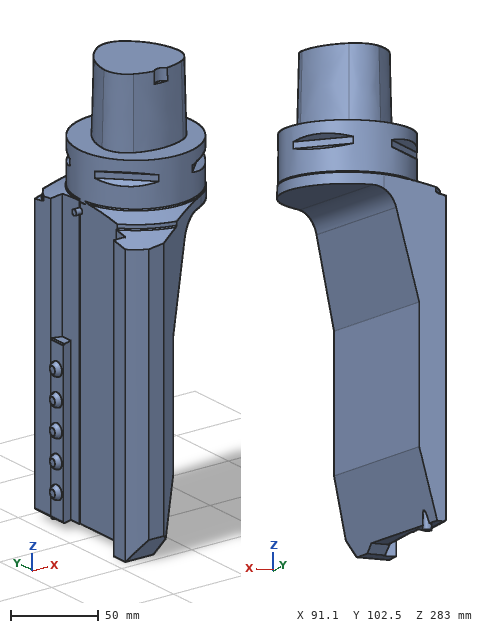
import cadquery as cq
import math


SHANK_LENGTH = 48.0
LOBE_PITCH = 120.0
SHANK_LOBE_REACH = 29.2
SHANK_SIDE_REACH = 25.5
SHANK_LOBE_RADIUS = 17.2
SHANK_TAPER = math.degrees(math.atan(1 / 40))
KEYWAY_RADIUS = 6.0
KEYWAY_CENTRE_Y = -27.8
KEYWAY_DEPTH = 8.0

FLANGE_RADIUS = 40.0
FLANGE_BOTTOM = -30.0
PLATE_RADIUS = 40.5
GROOVE_Z = -11.8
GROOVE_FLOOR_REACH = 35.4
GROOVE_FLOOR_HEIGHT = 4.0
GROOVE_MOUTH_HEIGHT = 8.8
GROOVE_ANGLES = (45, 135, 225, 315)

BODY_BOTTOM = -235.0
FRONT_X = -47.5
SEAT_X = -40.5
RELIEF_X = -39.7
RAIL_OUTER_Y = 33.4
RAIL_INNER_Y = 18.0
HOOK_INNER_Y = -42.8
HOOK_OUTER_Y = -62.0
HOOK_CORNER_X = -25.9
HOOK_RADIUS = 72.0
RELIEF_Y = (-36.0, 0.0)
DOVETAIL_ANGLE = 16.0

SHOULDER_ANGLE = 15.0
STEP_RADIUS = 53.4
STEP_HEIGHT = 2.5
STEP_COVE = 0.8
SHOULDER_TOP = -30.9

BACK_TURN = 10.0
BACK_REACH = -23.0
BACK_SLOPE = 16.0
PLATE_BOTTOM = -37.6
UPPER_SLOPE_END = -103.0
LOWER_SLOPE_START = -188.0
BACK_FILLET = 16.0

SEAT_BOTTOM = -230.2
HOOK_CHAMFER_WIDTH = 7.8
HOOK_CHAMFER_ANGLE = 60.0
RAIL_END_CHAMFER = 1.0

STRIP_WIDTH = 12.2
STRIP_TOP = -119.7
STRIP_CHAMFER = 0.8
STRIP_SETBACK = 0.1
SCREW_COUNT = 5
SCREW_PITCH = 19.0
SCREW_TOP_Z = -136.8
SCREW_Y = 12.0
SCREW_HEAD_DIAMETER = 9.5
SCREW_TIP_DIAMETER = 5.0
SCREW_HEAD_HEIGHT = 3.13
SCREW_DOME_RADIUS = 3.8
SCREW_DOME_HEIGHT = 2.2
PIN_DIAMETER = 4.0
PIN_LENGTH = 3.5
PIN_Z = -37.5
PEG_DIAMETER = 5.0
PEG_CENTRE = (-40.0, 23.3)
PEG_TOP = -222.0
PEG_BOTTOM = -233.8

CLEARANCE = 100.0
EMBED = 1.0


def polar(radius, degrees):
    angle = math.radians(degrees)
    return (radius * math.cos(angle), radius * math.sin(angle))


def tan_deg(degrees):
    return math.tan(math.radians(degrees))


def make_shank():
    lobe_offset = SHANK_LOBE_REACH - SHANK_LOBE_RADIUS
    gap = SHANK_SIDE_REACH - SHANK_LOBE_RADIUS
    side_offset = (lobe_offset**2 - gap**2) / (2 * gap - lobe_offset)
    side_x, side_y = polar(side_offset, LOBE_PITCH / 2 + 180)
    joint_angle = math.degrees(math.atan2(-side_y, lobe_offset - side_x))
    joint_x, joint_y = polar(SHANK_LOBE_RADIUS, joint_angle)
    joint_x += lobe_offset
    joint_reach = math.hypot(joint_x, joint_y)
    joint_turn = math.degrees(math.atan2(joint_y, joint_x))

    outline = cq.Workplane("XY").moveTo(*polar(joint_reach, 90 - joint_turn))
    for lobe in (90, 90 + LOBE_PITCH, 90 + 2 * LOBE_PITCH):
        outline = outline.threePointArc(
            polar(SHANK_LOBE_REACH, lobe),
            polar(joint_reach, lobe + joint_turn),
        )
        outline = outline.threePointArc(
            polar(SHANK_SIDE_REACH, lobe + LOBE_PITCH / 2),
            polar(joint_reach, lobe + LOBE_PITCH - joint_turn),
        )
    shank = outline.close().extrude(SHANK_LENGTH, taper=SHANK_TAPER)
    keyway = (
        cq.Workplane("XY", origin=(0, KEYWAY_CENTRE_Y, SHANK_LENGTH - KEYWAY_DEPTH))
        .circle(KEYWAY_RADIUS)
        .extrude(KEYWAY_DEPTH)
    )
    return shank.cut(keyway)


def make_flange():
    flange = cq.Workplane("XY").circle(FLANGE_RADIUS).extrude(SHOULDER_TOP - EMBED)
    half_floor = GROOVE_FLOOR_HEIGHT / 2
    half_mouth = GROOVE_MOUTH_HEIGHT / 2
    groove = (
        cq.Workplane("XZ", origin=(0, FLANGE_RADIUS, GROOVE_Z))
        .polyline([
            (GROOVE_FLOOR_REACH, -half_floor),
            (FLANGE_RADIUS, -half_mouth),
            (FLANGE_RADIUS, half_mouth),
            (GROOVE_FLOOR_REACH, half_floor),
        ])
        .close()
        .extrude(2 * FLANGE_RADIUS)
    )
    for angle in GROOVE_ANGLES:
        flange = flange.cut(groove.rotate((0, 0, 0), (0, 0, 1), angle))
    return flange


def plate_tangent_angle(x, y, side):
    """Angle of the point where a line from (x, y) touches the plate circle."""
    half_span = math.degrees(math.acos(PLATE_RADIUS / math.hypot(x, y)))
    return math.degrees(math.atan2(y, x)) + side * half_span


def make_prism():
    undercut = (SEAT_X - FRONT_X) * tan_deg(DOVETAIL_ANGLE)
    rail_tangent = polar(PLATE_RADIUS, plate_tangent_angle(FRONT_X, RAIL_OUTER_Y, -1))
    hook_tangent = polar(PLATE_RADIUS, plate_tangent_angle(HOOK_CORNER_X, HOOK_OUTER_Y, 1))
    hook_arc_start = (-math.sqrt(HOOK_RADIUS**2 - HOOK_OUTER_Y**2), HOOK_OUTER_Y)
    hook_arc_end = (FRONT_X, -math.sqrt(HOOK_RADIUS**2 - FRONT_X**2))
    mid_x = hook_arc_start[0] + hook_arc_end[0]
    mid_y = hook_arc_start[1] + hook_arc_end[1]
    hook_arc_mid = polar(HOOK_RADIUS, math.degrees(math.atan2(mid_y, mid_x)))
    relief_low, relief_high = RELIEF_Y
    return (
        cq.Workplane("XY", origin=(0, 0, BODY_BOTTOM))
        .moveTo(FRONT_X, RAIL_OUTER_Y)
        .lineTo(*rail_tangent)
        .threePointArc((PLATE_RADIUS, 0), hook_tangent)
        .lineTo(HOOK_CORNER_X, HOOK_OUTER_Y)
        .lineTo(*hook_arc_start)
        .threePointArc(hook_arc_mid, hook_arc_end)
        .lineTo(FRONT_X, HOOK_INNER_Y)
        .lineTo(SEAT_X, HOOK_INNER_Y - undercut)
        .lineTo(SEAT_X, relief_low)
        .lineTo(RELIEF_X, relief_low)
        .lineTo(RELIEF_X, relief_high)
        .lineTo(SEAT_X, relief_high)
        .lineTo(SEAT_X, RAIL_INNER_Y - undercut)
        .lineTo(FRONT_X, RAIL_INNER_Y)
        .close()
        .extrude(FLANGE_BOTTOM - BODY_BOTTOM)
    )


def make_shoulder_envelope():
    step_top = SHOULDER_TOP - (STEP_RADIUS - PLATE_RADIUS) * tan_deg(SHOULDER_ANGLE)
    step_bottom = step_top - STEP_HEIGHT
    cove_radius = STEP_RADIUS + STEP_COVE
    cove_z = step_bottom - STEP_COVE
    rim_z = cove_z - (CLEARANCE - cove_radius) * tan_deg(SHOULDER_ANGLE)
    return (
        cq.Workplane("XZ")
        .polyline([
            (0, FLANGE_BOTTOM),
            (FLANGE_RADIUS, FLANGE_BOTTOM),
            (PLATE_RADIUS, SHOULDER_TOP),
            (STEP_RADIUS, step_top),
            (STEP_RADIUS, step_bottom),
            (cove_radius, cove_z),
            (CLEARANCE, rim_z),
            (CLEARANCE, BODY_BOTTOM),
            (0, BODY_BOTTOM),
        ])
        .close()
        .revolve(360, (0, 0), (0, 1))
    )


def make_back_cut():
    slope = tan_deg(BACK_SLOPE)
    plate_reach = BACK_REACH + (PLATE_BOTTOM - UPPER_SLOPE_END) * slope
    foot_reach = BACK_REACH - (LOWER_SLOPE_START - BODY_BOTTOM) * slope
    return (
        cq.Workplane("XZ", origin=(0, CLEARANCE, 0))
        .polyline([
            (plate_reach, PLATE_BOTTOM),
            (BACK_REACH, UPPER_SLOPE_END),
            (BACK_REACH, LOWER_SLOPE_START),
            (foot_reach, BODY_BOTTOM),
            (CLEARANCE, BODY_BOTTOM),
            (CLEARANCE, PLATE_BOTTOM),
        ])
        .close()
        .extrude(2 * CLEARANCE)
        .edges(cq.selectors.NearestToPointSelector((plate_reach, 0, PLATE_BOTTOM)))
        .fillet(BACK_FILLET)
        .rotate((0, 0, 0), (0, 0, 1), BACK_TURN)
    )


def make_end_cut():
    """Everything below the seat end, the hook ramp and the hook chamfer."""
    chamfer_height = HOOK_CHAMFER_WIDTH * tan_deg(HOOK_CHAMFER_ANGLE)
    sides = cq.Workplane("YZ", origin=(-CLEARANCE, 0, 0))
    seat_end = sides.polyline([
        (CLEARANCE, SEAT_BOTTOM),
        (RELIEF_Y[0], SEAT_BOTTOM),
        (HOOK_INNER_Y, BODY_BOTTOM),
        (CLEARANCE, BODY_BOTTOM),
    ]).close().extrude(2 * CLEARANCE)
    hook_chamfer = sides.polyline([
        (HOOK_OUTER_Y, BODY_BOTTOM),
        (HOOK_OUTER_Y + HOOK_CHAMFER_WIDTH, BODY_BOTTOM),
        (HOOK_OUTER_Y, BODY_BOTTOM + chamfer_height),
    ]).close().extrude(2 * CLEARANCE)
    return seat_end.union(hook_chamfer)


def make_body():
    body = make_prism().intersect(make_shoulder_envelope())
    return body.cut(make_back_cut()).cut(make_end_cut())


def make_strip():
    undercut = (SEAT_X - FRONT_X) * tan_deg(DOVETAIL_ANGLE)
    free_y = RAIL_INNER_Y - STRIP_WIDTH
    face_x = FRONT_X + STRIP_SETBACK
    return (
        cq.Workplane("XY", origin=(0, 0, SEAT_BOTTOM))
        .polyline([
            (face_x, RAIL_INNER_Y),
            (face_x, free_y),
            (SEAT_X, free_y + undercut),
            (SEAT_X, RAIL_INNER_Y - undercut),
        ])
        .close()
        .extrude(STRIP_TOP - SEAT_BOTTOM)
        .faces("<X")
        .edges(">Z")
        .chamfer(STRIP_CHAMFER)
    )


def make_rail_end_chamfer():
    """Wedge along the lower front edge of the rail and the strip."""
    return (
        cq.Workplane("XZ", origin=(0, RAIL_OUTER_Y + EMBED, 0))
        .polyline([
            (FRONT_X, SEAT_BOTTOM),
            (FRONT_X + RAIL_END_CHAMFER, SEAT_BOTTOM),
            (FRONT_X, SEAT_BOTTOM + RAIL_END_CHAMFER),
        ])
        .close()
        .extrude(RAIL_OUTER_Y - RAIL_INNER_Y + STRIP_WIDTH + 2 * EMBED)
    )


def make_screw_head(z):
    """Domed button head standing on the strip, its axis along X."""
    base_radius = SCREW_HEAD_DIAMETER / 2
    tip_radius = SCREW_TIP_DIAMETER / 2
    tip_x = FRONT_X - SCREW_HEAD_HEIGHT
    dome_mid = (FRONT_X - SCREW_DOME_HEIGHT, SCREW_DOME_RADIUS)
    return (
        cq.Workplane("XY")
        .moveTo(FRONT_X + EMBED, 0)
        .lineTo(FRONT_X + EMBED, base_radius)
        .lineTo(FRONT_X, base_radius)
        .threePointArc(dome_mid, (tip_x, tip_radius))
        .lineTo(tip_x, 0)
        .close()
        .revolve(360, (0, 0), (1, 0))
        .translate((0, SCREW_Y, z))
    )


def make_pin():
    return (
        cq.Workplane("YZ", origin=(SEAT_X + 2 * EMBED, 0, PIN_Z))
        .circle(PIN_DIAMETER / 2)
        .extrude(-PIN_LENGTH - 2 * EMBED)
    )


def make_peg():
    return (
        cq.Workplane("XY", origin=(*PEG_CENTRE, PEG_TOP))
        .circle(PEG_DIAMETER / 2)
        .extrude(PEG_BOTTOM - PEG_TOP)
    )


blade_seat = make_body().union(make_strip()).cut(make_rail_end_chamfer())
result = make_shank().union(make_flange()).union(blade_seat)
for index in range(SCREW_COUNT):
    result = result.union(make_screw_head(SCREW_TOP_Z - index * SCREW_PITCH))
result = result.union(make_pin()).union(make_peg())